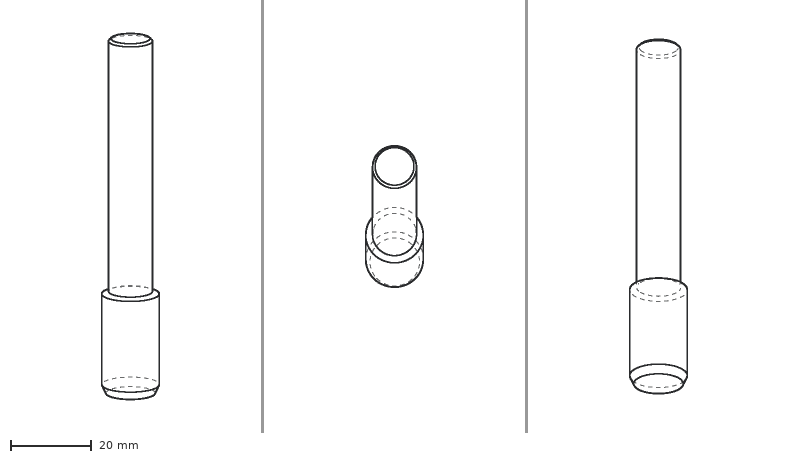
import cadquery as cq

total_length = 91.3
head_diameter = 14.3
shank_diameter = 11.0

head_length = 26.2
lead_in_height = 2.2
lead_in_width = 1.0
shoulder_rise = 0.6

shank_chamfer = 0.6

head_radius = head_diameter / 2
shank_radius = shank_diameter / 2
bottom_z = -total_length / 2
joint_z = bottom_z + head_length
shank_length = total_length - head_length


def make_head():
    """Revolve the half profile of the head around Z."""
    return (
        cq.Workplane("XZ")
        .moveTo(0, bottom_z)
        .lineTo(head_radius - lead_in_width, bottom_z)
        .lineTo(head_radius, bottom_z + lead_in_height)
        .lineTo(head_radius, joint_z - shoulder_rise)
        .lineTo(shank_radius, joint_z)
        .lineTo(0, joint_z)
        .close()
        .revolve(360, (0, 0, 0), (0, 1, 0))
    )


def make_shank():
    """Round shank standing on the flat top of the head."""
    return (
        cq.Workplane("XY")
        .workplane(offset=joint_z)
        .circle(shank_radius)
        .extrude(shank_length)
        .faces(">Z")
        .chamfer(shank_chamfer)
    )


head = make_head()
shank = make_shank()

result = cq.Compound.makeCompound([head.val(), shank.val()])